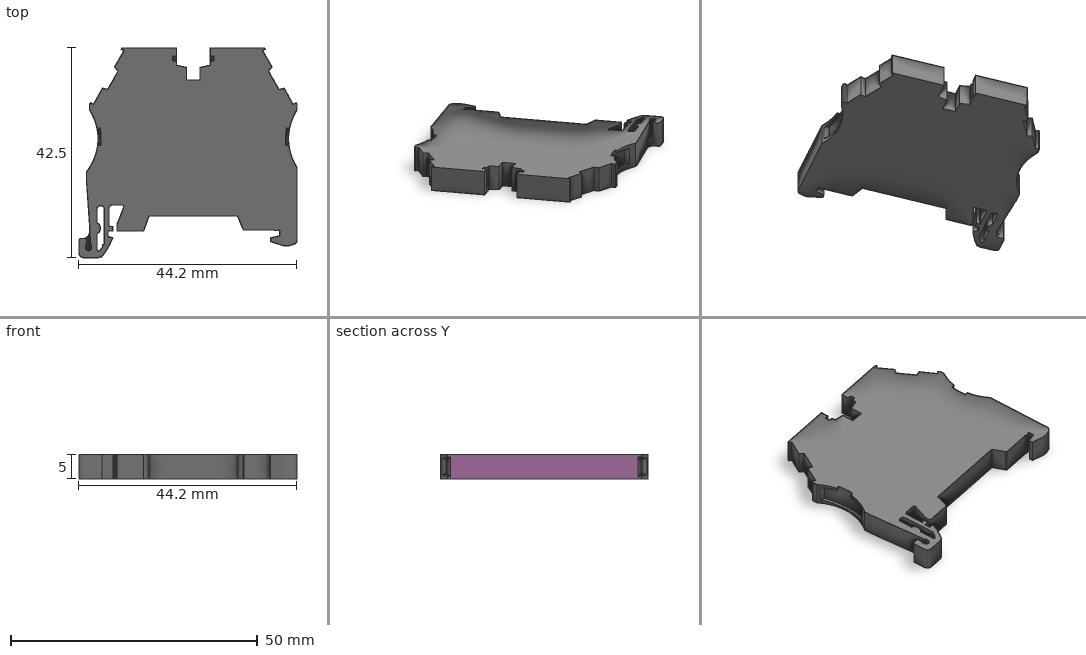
import cadquery as cq
import math

thickness = 5.0
top_y = 42.5

notch_half_width = 3.4
notch_shoulder_y = 39.0
notch_neck_y = 38.55
neck_half_width = 1.35
neck_bottom_y = 36.0

keyway_top_y = 40.9
keyway_bottom_y = 39.7
keyway_depth = 0.8
keyway_top_taper = 0.1
keyway_bottom_taper = 0.25
keyway_floor_z = 1.0

side_x = 21.05
side_end_y = 30.1
grip_edge_x = 20.9
grip_top_y = 29.75
shoulder_points = [
    (14.45, top_y),
    (14.6, 42.2),
    (14.05, 41.95),
    (15.95, 38.65),
    (15.25, 37.8),
    (17.35, 34.1),
    (18.4, 34.35),
    (20.2, 31.1),
    (20.8, 31.4),
    (side_x, 31.1),
    (side_x, side_end_y),
]

grip_center_y = 24.1
grip_apex_x = 19.3
grip_sagitta = grip_edge_x - grip_apex_x
grip_half_chord = grip_top_y - grip_center_y
grip_radius = (grip_half_chord**2 + grip_sagitta**2) / (2 * grip_sagitta)
grip_center_x = grip_apex_x + grip_radius
left_grip_bottom_y = 17.7
right_grip_bottom_y = 2 * grip_center_y - grip_top_y
right_side_top_y = 2 * grip_center_y - side_end_y

recess_depth = 0.65
recess_floor_half_length = 5.0
recess_mouth_half_length = 5.4
recess_end_bottom_z = 1.0
recess_middle_bottom_z = 0.35
recess_end_top_z = 4.2
recess_middle_top_z = 4.6
window_center_y = 24.5
window_half_length = 1.75

left_pad_y = 5.4
right_pad_y = 5.6
rail_seat_y = 8.45
rail_seat_half_width = 8.95
pad_edge_x = 10.05
pad_edge_chamfer = 0.2

bead_start_x = 16.4
bead_end_x = 17.2
bead_height = 0.12

hook_bottom_y = 2.4
hook_throat_x = 17.5
hook_throat_y = 4.45
hook_tip_x = 15.65
hook_tip_top_y = 4.05
hook_tip_bottom_y = 3.25
hook_flat_start_x = 18.35
hook_flat_end_x = 19.3
hook_round_start = (20.3, 2.7)
hook_round_middle = (20.85, 3.07)
hook_round_end_y = 3.6

overall_length = 44.2
foot_left_x = side_x - overall_length
foot_tip_top_y = 3.95
foot_tip_radius = 0.5
foot_heel = 0.95
leg_top_x = -21.65
leg_top_y = 17.4
leg_bend_top_y = 15.35
leg_bend_bottom_x = -21.6
leg_bend_bottom_y = 15.0
web_top_x = -21.05
web_top_y = 5.3
relief_left_x = -21.65
relief_lip_radius = 0.35
web_corner_x = relief_left_x - relief_lip_radius
web_fillet_middle = (-21.3, 4.4)
sole_end_x = -19.3
ramp_start = (-18.5, 0.2)
ramp_middle = (-17.25, 2.05)
ramp_end_y = 4.05
catch_tip_x = -16.3
catch_throat_x = -17.25
catch_throat_y = 4.3
catch_nose_top_y = 6.35
nose_chamfer = 0.15
gap_left_x = -17.05
gap_top_y = 10.65
gap_corner_radius = 0.6
gap_right_x = -15.5
gap_top_right_x = -14.05
gap_tip_chamfer = 0.25
gap_flank_bottom_y = 6.65

slot_left_x = -19.48
slot_right_x = -18.05
slot_top_y = 10.5
slot_top_radius = 0.6
slot_bump_x = -18.8
slot_bump_top_y = 7.1
slot_bump_bottom_y = 4.85
slot_step_x = -18.35
slot_step_top_y = 2.7
slot_step_bottom_y = 2.25
slot_toe_start = (-18.85, 1.6)
slot_toe_bottom = (-19.15, 1.4)
slot_toe_end_y = 1.65

web_thickness = 0.8
relief_top_x = -20.95
relief_top_y = 5.45
relief_bulb_top_y = 2.75
leg_slope = (relief_top_x - leg_bend_bottom_x) / (leg_bend_bottom_y - relief_top_y)
relief_right_x = relief_top_x + leg_slope * (relief_top_y - relief_bulb_top_y)
relief_bulb_growth = 0.18
relief_bottom_y = 1.42
bank_width = 0.4
bank_height = 0.35


def grip_x(y):
    """Distance of the grip surface from the centre line at height y."""
    return grip_center_x - math.sqrt(grip_radius**2 - (y - grip_center_y) ** 2)


def corner_point(center_x, center_y, radius, angle):
    """Point on a rounded corner, at an angle in degrees about the corner's centre."""
    turn = math.radians(angle)
    return (center_x + radius * math.cos(turn), center_y + radius * math.sin(turn))


def add_shoulder_and_notch(outline):
    """Continue the outline from the right grip, over the top, to the left grip."""
    for x, y in reversed(shoulder_points):
        outline = outline.lineTo(x, y)
    outline = (
        outline.lineTo(notch_half_width, top_y)
        .lineTo(notch_half_width, notch_shoulder_y)
        .lineTo(neck_half_width, notch_neck_y)
        .lineTo(neck_half_width, neck_bottom_y)
        .lineTo(-neck_half_width, neck_bottom_y)
        .lineTo(-neck_half_width, notch_neck_y)
        .lineTo(-notch_half_width, notch_shoulder_y)
        .lineTo(-notch_half_width, top_y)
    )
    for x, y in shoulder_points:
        outline = outline.lineTo(-x, y)
    return outline.lineTo(-grip_edge_x, grip_top_y)


def add_spring_foot(outline):
    """Continue the outline down the left leg and round the foot to the rail gap."""
    tip_center_x = foot_left_x + foot_tip_radius
    tip_center_y = foot_tip_top_y - foot_tip_radius
    gap_center_x = gap_left_x + gap_corner_radius
    gap_center_y = gap_top_y - gap_corner_radius
    return (
        outline.lineTo(leg_top_x, leg_top_y)
        .lineTo(leg_top_x, leg_bend_top_y)
        .lineTo(leg_bend_bottom_x, leg_bend_bottom_y)
        .lineTo(relief_top_x, relief_top_y)
        .lineTo(web_top_x, web_top_y)
        .threePointArc(web_fillet_middle, (web_corner_x, foot_tip_top_y))
        .lineTo(tip_center_x, foot_tip_top_y)
        .threePointArc(
            corner_point(tip_center_x, tip_center_y, foot_tip_radius, 135),
            (foot_left_x, tip_center_y),
        )
        .lineTo(foot_left_x, foot_heel)
        .threePointArc(
            corner_point(foot_left_x + foot_heel, foot_heel, foot_heel, 225),
            (foot_left_x + foot_heel, 0),
        )
        .lineTo(sole_end_x, 0)
        .lineTo(*ramp_start)
        .threePointArc(ramp_middle, (catch_tip_x, ramp_end_y))
        .lineTo(catch_throat_x, catch_throat_y)
        .lineTo(catch_throat_x, left_pad_y)
        .lineTo(catch_tip_x, left_pad_y)
        .lineTo(catch_tip_x, catch_nose_top_y)
        .lineTo(gap_left_x + nose_chamfer, catch_nose_top_y)
        .lineTo(gap_left_x, catch_nose_top_y + nose_chamfer)
        .lineTo(gap_left_x, gap_center_y)
        .threePointArc(
            corner_point(gap_center_x, gap_center_y, gap_corner_radius, 135),
            (gap_center_x, gap_top_y),
        )
        .lineTo(gap_top_right_x - gap_tip_chamfer, gap_top_y)
        .lineTo(gap_top_right_x, gap_top_y - gap_tip_chamfer)
        .lineTo(gap_right_x, gap_flank_bottom_y)
        .lineTo(gap_right_x, left_pad_y)
    )


def add_rail_seat_and_hook(outline):
    """Continue the outline along the rail seat and round the rigid hook."""
    return (
        outline.lineTo(-pad_edge_x, left_pad_y)
        .lineTo(-rail_seat_half_width, rail_seat_y)
        .lineTo(rail_seat_half_width, rail_seat_y)
        .lineTo(pad_edge_x, right_pad_y + pad_edge_chamfer)
        .lineTo(pad_edge_x + pad_edge_chamfer, right_pad_y)
        .lineTo(bead_start_x, right_pad_y)
        .lineTo(bead_start_x + bead_height, right_pad_y - bead_height)
        .lineTo(bead_end_x - bead_height, right_pad_y - bead_height)
        .lineTo(bead_end_x, right_pad_y)
        .lineTo(hook_throat_x, right_pad_y)
        .lineTo(hook_throat_x, hook_throat_y)
        .lineTo(hook_tip_x, hook_tip_top_y)
        .lineTo(hook_tip_x, hook_tip_bottom_y)
        .lineTo(hook_flat_start_x, hook_bottom_y)
        .lineTo(hook_flat_end_x, hook_bottom_y)
        .lineTo(*hook_round_start)
        .threePointArc(hook_round_middle, (side_x, hook_round_end_y))
    )


def plate():
    """The full plate, without slots and recesses."""
    outline = cq.Workplane("XY").moveTo(side_x, right_side_top_y)
    outline = outline.lineTo(grip_edge_x, right_grip_bottom_y)
    outline = outline.threePointArc((grip_apex_x, grip_center_y), (grip_edge_x, grip_top_y))
    outline = add_shoulder_and_notch(outline)
    outline = outline.threePointArc(
        (-grip_apex_x, grip_center_y), (-grip_x(left_grip_bottom_y), left_grip_bottom_y)
    )
    outline = add_spring_foot(outline)
    outline = add_rail_seat_and_hook(outline)
    return outline.close().extrude(thickness)


def foot_slot():
    """Long slot through the spring foot, narrowed by a bump on its left wall."""
    bump_middle_y = (slot_bump_top_y + slot_bump_bottom_y) / 2
    round_y = slot_top_y - slot_top_radius
    left_center_x = slot_left_x + slot_top_radius
    right_center_x = slot_right_x - slot_top_radius
    return (
        cq.Workplane("XY")
        .moveTo(slot_left_x, round_y)
        .threePointArc(
            corner_point(left_center_x, round_y, slot_top_radius, 135), (left_center_x, slot_top_y)
        )
        .lineTo(right_center_x, slot_top_y)
        .threePointArc(
            corner_point(right_center_x, round_y, slot_top_radius, 45), (slot_right_x, round_y)
        )
        .lineTo(slot_right_x, slot_step_top_y)
        .lineTo(slot_step_x, slot_step_top_y)
        .lineTo(slot_step_x, slot_step_bottom_y)
        .lineTo(*slot_toe_start)
        .threePointArc(slot_toe_bottom, (slot_left_x, slot_toe_end_y))
        .lineTo(slot_left_x, slot_bump_bottom_y)
        .threePointArc((slot_bump_x, bump_middle_y), (slot_left_x, slot_bump_top_y))
        .close()
        .extrude(thickness)
    )


def relief_slot():
    """Slot behind the tip of the foot, down to the web, with a sloped bank along its right wall."""
    bulb_left_x = relief_left_x - relief_bulb_growth
    bulb_right_x = relief_right_x + relief_bulb_growth
    bulb_radius = (bulb_right_x - bulb_left_x) / 2
    bulb_center_x = (bulb_left_x + bulb_right_x) / 2
    bulb_center_y = relief_bottom_y + bulb_radius
    slot = (
        cq.Workplane("XY")
        .workplane(offset=web_thickness)
        .moveTo(relief_top_x, relief_top_y)
        .lineTo(relief_right_x, relief_bulb_top_y)
        .lineTo(bulb_right_x, relief_bulb_top_y - relief_bulb_growth)
        .lineTo(bulb_right_x, bulb_center_y)
        .threePointArc((bulb_center_x, relief_bottom_y), (bulb_left_x, bulb_center_y))
        .lineTo(bulb_left_x, relief_bulb_top_y - relief_bulb_growth)
        .lineTo(relief_left_x, relief_bulb_top_y)
        .lineTo(relief_left_x, foot_tip_top_y - relief_lip_radius)
        .threePointArc(
            corner_point(web_corner_x, foot_tip_top_y - relief_lip_radius, relief_lip_radius, 45),
            (web_corner_x, foot_tip_top_y),
        )
        .lineTo(web_corner_x, relief_top_y)
        .close()
        .extrude(thickness)
    )
    bank = (
        cq.Workplane("XZ")
        .moveTo(relief_right_x - bank_width, web_thickness)
        .lineTo(bulb_right_x, web_thickness)
        .lineTo(bulb_right_x, web_thickness + bank_height)
        .lineTo(relief_right_x, web_thickness + bank_height)
        .close()
        .extrude(-relief_top_y)
    )
    return slot.cut(bank)


def keyway():
    """Tapered keyway in the right notch wall."""
    outer_x = notch_half_width + keyway_depth
    return (
        cq.Workplane("XY")
        .workplane(offset=keyway_floor_z)
        .moveTo(0, keyway_top_y)
        .lineTo(notch_half_width, keyway_top_y)
        .lineTo(outer_x, keyway_top_y - keyway_top_taper)
        .lineTo(outer_x, keyway_bottom_y + keyway_bottom_taper)
        .lineTo(notch_half_width, keyway_bottom_y)
        .lineTo(0, keyway_bottom_y)
        .close()
        .extrude(thickness)
    )


def grip_recess():
    """Barrel-shaped recess in the right grip, with a window open to the top face."""
    low_y = grip_center_y - recess_mouth_half_length
    high_y = grip_center_y + recess_mouth_half_length
    barrel = (
        cq.Workplane("YZ")
        .moveTo(low_y, recess_end_bottom_z)
        .threePointArc((grip_center_y, recess_middle_bottom_z), (high_y, recess_end_bottom_z))
        .lineTo(high_y, recess_end_top_z)
        .threePointArc((grip_center_y, recess_middle_top_z), (low_y, recess_end_top_z))
        .close()
        .extrude(grip_center_x)
    )
    window_height = thickness - recess_end_bottom_z
    window = (
        cq.Workplane("YZ")
        .center(window_center_y, thickness - window_height / 2)
        .rect(2 * window_half_length, window_height)
        .extrude(grip_center_x)
    )
    floor_radius = grip_radius + recess_depth
    floor_end_x = grip_center_x - math.sqrt(floor_radius**2 - recess_floor_half_length**2)
    mouth_end_x = grip_x(high_y)
    tapered_reach = (
        cq.Workplane("XY")
        .center(0, grip_center_y)
        .moveTo(floor_end_x, -recess_floor_half_length)
        .lineTo(mouth_end_x, -recess_mouth_half_length)
        .lineTo(grip_center_x, -recess_mouth_half_length)
        .lineTo(grip_center_x, recess_mouth_half_length)
        .lineTo(mouth_end_x, recess_mouth_half_length)
        .lineTo(floor_end_x, recess_floor_half_length)
        .threePointArc((grip_center_x - floor_radius, 0), (floor_end_x, -recess_floor_half_length))
        .close()
        .extrude(thickness)
    )
    return barrel.union(window).intersect(tapered_reach)


result = plate().cut(foot_slot()).cut(relief_slot())
for side_feature in (keyway(), grip_recess()):
    result = result.cut(side_feature).cut(side_feature.mirror("YZ"))